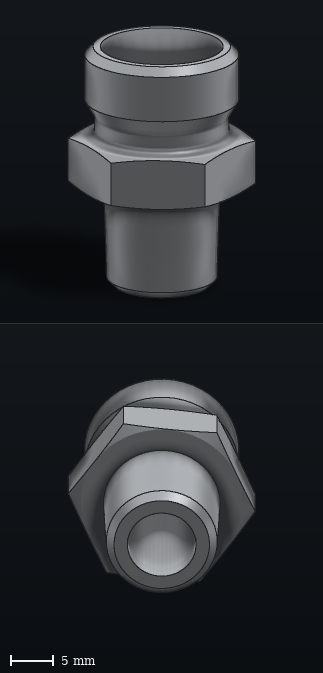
import cadquery as cq
import math

total_height = 29.0
hex_bottom = 12.0
hex_top = 18.0
collar_bottom = 22.6

collar_radius = 18.0 / 2
neck_radius = 15.7 / 2
collar_chamfer = 1.0
collar_flank_angle = 30.0
neck_root_fillet = 0.95
neck_flank_fillet = 0.95

hex_across_flats = 19.0
hex_chamfer_angle = 15.0
hex_face_radius = 18.85 / 2

stem_top_radius = 6.82
stem_taper = 1 / 16
stem_chamfer = 0.9

bore_radius = 8.0 / 2
socket_radius = 12.0 / 2
socket_mouth_radius = 7.15
socket_cone_half_angle = 12.0
socket_depth = 7.0


def tangent(angle):
    return math.tan(math.radians(angle))


def revolve_profile(profile):
    """Revolve a closed (radius, height) outline about Z."""
    return profile.close().revolve(360, (0, 0, 0), (0, 1, 0))


def make_stem():
    chamfer_top = stem_chamfer
    end_radius = stem_top_radius - (hex_bottom - chamfer_top) * stem_taper / 2
    return revolve_profile(
        cq.Workplane("XZ")
        .lineTo(end_radius - stem_chamfer, 0)
        .lineTo(end_radius, chamfer_top)
        .lineTo(stem_top_radius, hex_bottom)
        .lineTo(0, hex_bottom)
    )


def make_hexagon():
    """Hexagon with corners on Y and turned chamfers on both ends."""
    corner_diameter = hex_across_flats / math.cos(math.pi / 6)
    height = hex_top - hex_bottom
    prism = (
        cq.Workplane("XY", origin=(0, 0, hex_bottom))
        .polygon(6, corner_diameter)
        .extrude(height)
        .rotate((0, 0, 0), (0, 0, 1), 90)
    )
    corner_radius = corner_diameter / 2
    chamfer_drop = (corner_radius - hex_face_radius) * tangent(hex_chamfer_angle)
    envelope = revolve_profile(
        cq.Workplane("XZ")
        .moveTo(0, hex_bottom)
        .lineTo(hex_face_radius, hex_bottom)
        .lineTo(corner_radius, hex_bottom + chamfer_drop)
        .lineTo(corner_radius, hex_top - chamfer_drop)
        .lineTo(hex_face_radius, hex_top)
        .lineTo(0, hex_top)
    )
    return prism.intersect(envelope)


def make_collar():
    """Relief neck, flared flank and chamfered collar."""
    flank_bottom = collar_bottom - (collar_radius - neck_radius) / tangent(collar_flank_angle)
    blend_length = neck_flank_fillet * tangent(collar_flank_angle / 2)
    flank = math.radians(collar_flank_angle)
    blend_end = (
        neck_radius + blend_length * math.sin(flank),
        flank_bottom + blend_length * math.cos(flank),
    )
    root_top = hex_top + neck_root_fillet
    return revolve_profile(
        cq.Workplane("XZ")
        .moveTo(0, hex_top)
        .lineTo(neck_radius + neck_root_fillet, hex_top)
        .radiusArc((neck_radius, root_top), neck_root_fillet)
        .lineTo(neck_radius, flank_bottom - blend_length)
        .tangentArcPoint(blend_end, relative=False)
        .lineTo(collar_radius, collar_bottom)
        .lineTo(collar_radius, total_height - collar_chamfer)
        .lineTo(collar_radius - collar_chamfer, total_height)
        .lineTo(0, total_height)
    )


def make_cavity():
    """Through bore below a cylindrical socket with a conical mouth."""
    cone_depth = (socket_mouth_radius - socket_radius) / tangent(socket_cone_half_angle)
    socket_floor = total_height - socket_depth
    return revolve_profile(
        cq.Workplane("XZ")
        .lineTo(bore_radius, 0)
        .lineTo(bore_radius, socket_floor)
        .lineTo(socket_radius, socket_floor)
        .lineTo(socket_radius, total_height - cone_depth)
        .lineTo(socket_mouth_radius, total_height)
        .lineTo(0, total_height)
    )


result = make_stem().union(make_hexagon()).union(make_collar()).cut(make_cavity())